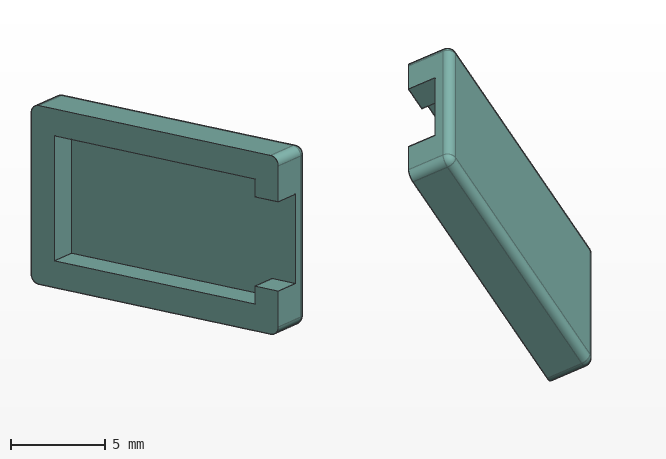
import cadquery as cq

length = 16.0
depth = 2.6
height = 10.0

wall = 1.5
pocket_depth = 1.6
notch_height = 5.0
edge_radius = 0.5


def rounded_block():
    """Block with rounded corners and a rounded back rim; its front face is flat."""
    block = cq.Workplane("XY").box(length, depth, height)
    return block.edges("|Y").fillet(edge_radius).faces(">Y").edges().fillet(edge_radius)


def front_cut(cut_length, cut_height, center_x):
    """Rectangular cut reaching pocket_depth in from the front face."""
    center_y = (pocket_depth - depth) / 2
    return cq.Workplane("XY").box(cut_length, pocket_depth, cut_height).translate((center_x, center_y, 0))


pocket = front_cut(length - 2 * wall, height - 2 * wall, 0)

notch = front_cut(length / 2, notch_height, length / 4)

result = rounded_block().cut(pocket).cut(notch)